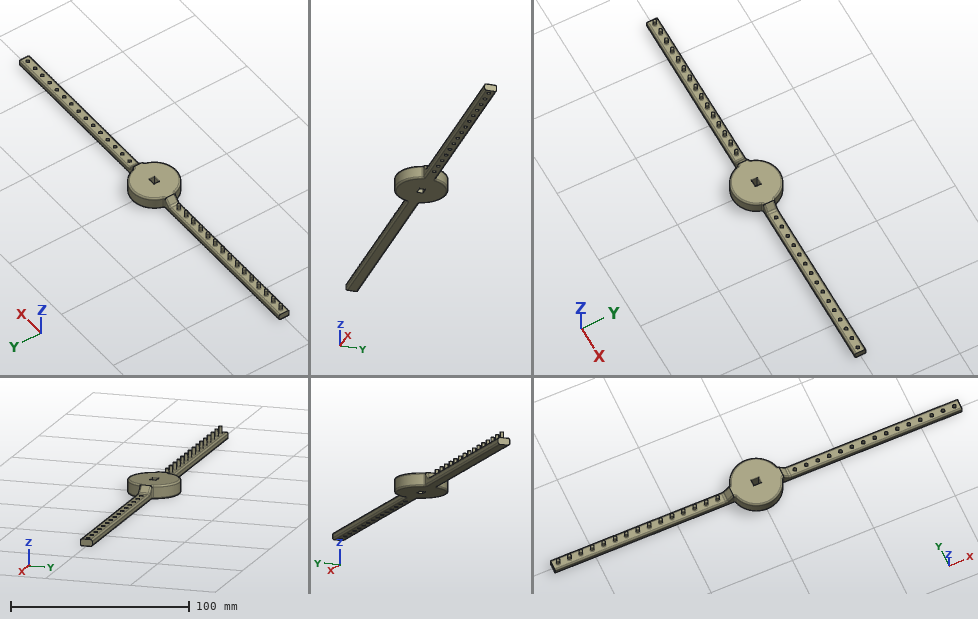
import cadquery as cq
import math

LENGTH = 250.0
HUB_DIAMETER = 30.0
HEIGHT = 8.0

STRAP_WIDTH = 7.0
STRAP_HEIGHT = 4.0
EDGE_FILLET = 1.0
NECK_FILLET = 1.0
RAMP_FOOT_FILLET = 2.0

PAIR_COUNT = 15
PITCH = 7.0
END_MARGIN = 3.2
PIN_DIAMETER = 2.0
PIN_TOP_FILLET = 0.2
PIN_FOOT_FILLET = 0.2
HOLE_DIAMETER = 2.0

WINDOW_LENGTH = 4.5
WINDOW_WIDTH = 3.5
WINDOW_RIM_FILLET = 0.2

HUB_RADIUS = HUB_DIAMETER / 2
END_X = LENGTH / 2
OUTERMOST_X = END_X - END_MARGIN
pair_offsets = [OUTERMOST_X - i * PITCH for i in range(PAIR_COUNT)]

CREST_X = math.sqrt((HUB_RADIUS + NECK_FILLET) ** 2 - (STRAP_WIDTH / 2 + NECK_FILLET) ** 2)
FOOT_X = CREST_X + HEIGHT - STRAP_HEIGHT


def make_hub():
    """Round hub with short strap stubs, filleted necks and rounded rims."""
    disc = cq.Workplane("XY").circle(HUB_RADIUS).extrude(HEIGHT)
    stubs = cq.Workplane("XY").rect(LENGTH, STRAP_WIDTH).extrude(HEIGHT)
    plan = disc.union(stubs)
    plan = plan.edges("|Z").edges("not(<X or >X)").fillet(NECK_FILLET)
    plan = plan.faces("<Z or >Z").edges("not(<X or >X)").fillet(EDGE_FILLET)
    zone = cq.Workplane("XY").rect(2 * CREST_X, HUB_DIAMETER).extrude(HEIGHT)
    return plan.intersect(zone)


def make_strap():
    """Strap with 45 degree ramps rising to the hub top, all long edges rounded."""
    half_profile = (
        cq.Workplane("XZ")
        .moveTo(0, 0)
        .lineTo(END_X, 0)
        .lineTo(END_X, STRAP_HEIGHT)
        .lineTo(FOOT_X, STRAP_HEIGHT)
        .lineTo(CREST_X, HEIGHT)
        .lineTo(0, HEIGHT)
        .close()
    )
    arm = half_profile.extrude(STRAP_WIDTH / 2, both=True)
    ramp_foot = cq.selectors.NearestToPointSelector((FOOT_X, 0, STRAP_HEIGHT))
    arm = arm.edges(ramp_foot).fillet(RAMP_FOOT_FILLET)
    arm = arm.faces("<Y or >Y").edges("not(<X or >X)").fillet(EDGE_FILLET)
    return arm.union(arm.mirror("YZ"))


def make_pins():
    """Round-topped pins with a flared foot, one for each hole."""
    radius = PIN_DIAMETER / 2
    foot_radius = radius + PIN_FOOT_FILLET
    pin = (
        cq.Workplane("XZ")
        .moveTo(0, STRAP_HEIGHT / 2)
        .lineTo(foot_radius, STRAP_HEIGHT / 2)
        .lineTo(foot_radius, STRAP_HEIGHT)
        .radiusArc((radius, STRAP_HEIGHT + PIN_FOOT_FILLET), PIN_FOOT_FILLET)
        .lineTo(radius, HEIGHT - PIN_TOP_FILLET)
        .radiusArc((radius - PIN_TOP_FILLET, HEIGHT), -PIN_TOP_FILLET)
        .lineTo(0, HEIGHT)
        .close()
        .revolve(360, (0, 0, 0), (0, 1, 0))
    )
    pins = cq.Workplane("XY")
    for x in pair_offsets:
        pins = pins.add(pin.translate((-x, 0, 0)))
    return pins.combine()


def make_holes():
    """Round cutters for the through holes."""
    points = [(x, 0) for x in pair_offsets]
    return cq.Workplane("XY").pushPoints(points).circle(HOLE_DIAMETER / 2).extrude(STRAP_HEIGHT)


def cut_window(body):
    """Cut the window through the hub and round its upper rim."""
    block = cq.Workplane("XY").rect(WINDOW_LENGTH, WINDOW_WIDTH).extrude(HEIGHT)
    cut_body = body.cut(block)
    rim_zone = cq.selectors.BoxSelector(
        (-WINDOW_LENGTH, -WINDOW_WIDTH, STRAP_HEIGHT),
        (WINDOW_LENGTH, WINDOW_WIDTH, 2 * HEIGHT),
    )
    rim = cut_body.edges(rim_zone).edges("not(|Z)")
    return rim.fillet(WINDOW_RIM_FILLET)


result = cut_window(make_strap().union(make_hub())).union(make_pins()).cut(make_holes())